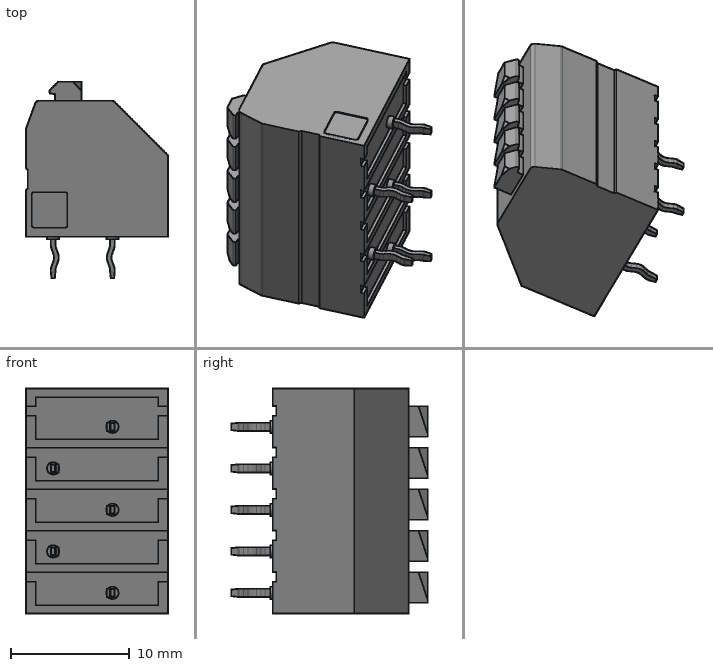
import cadquery as cq
import math


poles = 5
pitch = 3.5
end_plate = 1.5
width = 12.0
depth = 11.5
height = poles * pitch + end_plate
edge_radius = 0.4

back_slope_start = 9.12
back_slope_angle = math.radians(20)
front_chamfer_start = 6.87

groove_depth = 0.16
groove_bottom = (3.93, 4.07)
groove_top = (5.62, 5.83)

recess_depth = 0.3
recess_wall = 0.84
slot_height = 0.8
divider = 0.7
end_rim = 0.77

label_size = 3.0
label_center = (2.0, 2.28)
label_depth = 0.1
label_radius = 0.2

button_height = 2.6
button_rise = 1.6
button_top = depth + button_rise
button_back = 2.45
button_front = 4.7
button_slope_end = 2.74
hook_tip = (1.93, 12.29)
hook_lip = (2.03, 12.09)
hook_root = 12.03
hook_radius = 0.2

front_bevel_x = 0.73
front_bevel_y = 0.8
front_bevel_z = 2.4
back_bevel_x = 0.6
back_bevel_drop = 0.31
back_bevel_z = 0.6

pin_rows = (7.3, 2.3)
pin_bulges = (-0.34, 0.34)
pin_length = 3.5
pin_thickness = 0.42
pin_width = 0.7
bend_start = -0.82
bend_peak = -1.74
bend_end = -2.66
bend_radius = 1.0
tip_start = -2.92
tip_thickness = 0.3
tip_width = 0.57
collar_diameter = 1.04
collar_height = 0.2

overlap = 0.2


def pole_top(index):
    """Z of the upper boundary of a pole, counted from the top."""
    return height - end_plate - index * pitch


def box(x_range, y_range, z_range):
    """Axis-aligned box between pairs of limits."""
    sizes = [high - low for low, high in (x_range, y_range, z_range)]
    corner = (x_range[0], y_range[0], z_range[0])
    return cq.Workplane("XY").box(*sizes, centered=False).translate(corner)


def make_housing():
    back_slope_x = (depth - back_slope_start) * math.tan(back_slope_angle)
    front_chamfer_x = width - (depth - front_chamfer_start)
    outline = [
        (0, 0),
        (width, 0),
        (width, front_chamfer_start),
        (front_chamfer_x, depth),
        (back_slope_x, depth),
        (0, back_slope_start),
    ]
    body = cq.Workplane("XY").polyline(outline).close().extrude(height)
    for x, y in outline[3:]:
        body = body.edges(cq.selectors.NearestToPointSelector((x, y, height / 2))).fillet(edge_radius)

    groove = [
        (0, groove_bottom[0]),
        (groove_depth, groove_bottom[1]),
        (groove_depth, groove_top[0]),
        (0, groove_top[1]),
    ]
    return body.cut(cq.Workplane("XY").polyline(groove).close().extrude(height))


def make_recess(index):
    """Full-width slot at the top of a pole, with a walled recess around and below it."""
    top = pole_top(index)
    floor = top - pitch + divider
    recess_top = height - end_rim if index == 0 else top
    y_range = (0, recess_depth)
    slot = box((0, width), y_range, (top - slot_height, top))
    recess = box((recess_wall, width - recess_wall), y_range, (floor, recess_top))
    return slot.union(recess)


def make_label_recess():
    plane = cq.Workplane("XY").workplane(offset=height - label_depth)
    square = plane.center(*label_center).rect(label_size, label_size).extrude(label_depth)
    return square.edges("|Z").fillet(label_radius)


def make_corner_wedge(corner, first, second, third):
    """Tetrahedron with the given four corners."""
    points = [cq.Vector(*point) for point in (corner, first, second, third)]
    faces = []
    for skipped in range(len(points)):
        triangle = points[:skipped] + points[skipped + 1:]
        faces.append(cq.Face.makeFromWires(cq.Wire.makePolygon(triangle, close=True)))
    return cq.Workplane(obj=cq.Solid.makeSolid(cq.Shell.makeShell(faces)))


def make_button():
    """Push button with a hooked back edge, from Z = 0 up to its own height."""
    outline = [
        (button_front, depth - overlap),
        (button_front, button_top),
        (button_slope_end, button_top),
        hook_tip,
        hook_lip,
        (button_back, hook_root),
        (button_back, depth - overlap),
    ]
    button = cq.Workplane("XY").polyline(outline).close().extrude(button_height)
    tip_edge = cq.selectors.NearestToPointSelector((*hook_tip, button_height / 2))
    button = button.edges(tip_edge).fillet(hook_radius)

    front_wedge = make_corner_wedge(
        (button_front, button_top, button_height),
        (button_front - front_bevel_x, button_top, button_height),
        (button_front, button_top - front_bevel_y, button_height),
        (button_front, button_top, button_height - front_bevel_z),
    )
    slope = (button_top - hook_tip[1]) / (button_slope_end - hook_tip[0])
    back_wedge = make_corner_wedge(
        (button_slope_end, button_top, 0),
        (button_slope_end + back_bevel_x, button_top, 0),
        (button_slope_end - back_bevel_drop / slope, button_top - back_bevel_drop, 0),
        (button_slope_end, button_top, back_bevel_z),
    )
    return button.cut(front_wedge).cut(back_wedge)


def make_pin(x, bulge):
    """Kinked flat pin with a tapered tip and a round collar, centred on Z = 0."""
    half = pin_thickness / 2
    bend = [(0, bend_start), (bulge, bend_peak), (0, bend_end)]
    center_line = [(0, overlap), *bend, (0, tip_start)]
    left = [(x + dx - half, y) for dx, y in center_line]
    right = [(x + dx + half, y) for dx, y in reversed(center_line)]
    shank = cq.Workplane("XY").polyline(left + right).close().extrude(pin_width / 2, both=True)
    for dx, y in bend:
        for side in (-half, half):
            corner = cq.selectors.NearestToPointSelector((x + dx + side, y, 0))
            shank = shank.edges("|Z").edges(corner).fillet(bend_radius)

    tip = (
        cq.Workplane("XZ", origin=(x, tip_start, 0))
        .rect(pin_thickness, pin_width)
        .workplane(offset=pin_length + tip_start)
        .rect(tip_thickness, tip_width)
        .loft()
    )
    collar = (
        cq.Workplane("XZ", origin=(x, recess_depth + overlap, 0))
        .circle(collar_diameter / 2)
        .extrude(recess_depth + overlap + collar_height)
    )
    return shank.union(tip).union(collar)


result = make_housing().cut(make_label_recess())
button = make_button()
for pole in range(poles):
    row = pole % len(pin_rows)
    pin = make_pin(pin_rows[row], pin_bulges[row])
    result = result.cut(make_recess(pole))
    result = result.union(button.translate((0, 0, pole_top(pole) - button_height)))
    result = result.union(pin.translate((0, 0, pole_top(pole) - pitch / 2)))